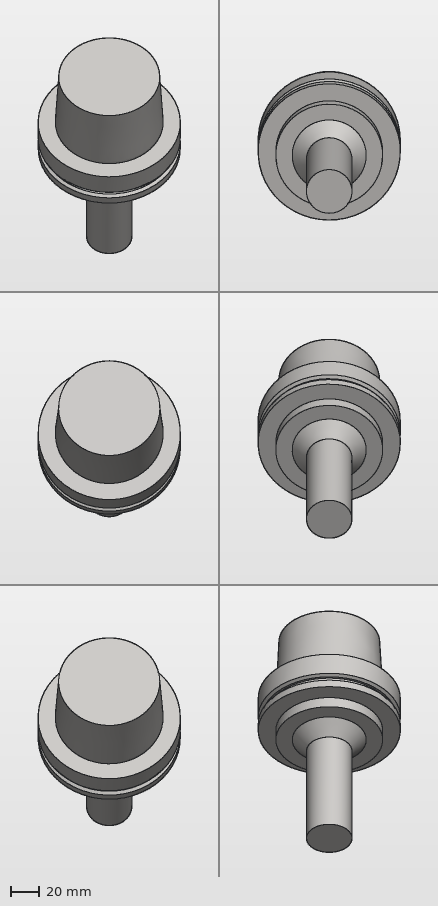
import cadquery as cq

shank_diameter = 32.0
neck_diameter = 52.0
collar_diameter = 75.0
flange_diameter = 100.0
groove_diameter = 92.0
taper_base_diameter = 75.8
taper_top_diameter = 71.0

total_height = 175.0
shank_top = 77.9
neck_top = 88.0
flange_bottom = 96.2
flange_top = 125.1
taper_start = 126.7

groove_floor_bottom = 103.2
groove_floor_top = 107.0
groove_bevel_height = 1.2
groove_bevel_depth = 2.5


def revolve_about_z(points):
    """Solid of revolution from (radius, height) points."""
    return cq.Workplane("XZ").polyline(points).close().revolve(360, (0, 0, 0), (0, 1, 0))


body = revolve_about_z([
    (0, 0),
    (shank_diameter / 2, 0),
    (shank_diameter / 2, shank_top),
    (neck_diameter / 2, neck_top),
    (collar_diameter / 2, neck_top),
    (collar_diameter / 2, flange_bottom),
    (flange_diameter / 2, flange_bottom),
    (flange_diameter / 2, flange_top),
    (taper_base_diameter / 2, flange_top),
    (taper_base_diameter / 2, taper_start),
    (taper_top_diameter / 2, total_height),
    (0, total_height),
])

flange_radius = flange_diameter / 2
groove_radius = groove_diameter / 2
bevel_radius = flange_radius - groove_bevel_depth
groove = revolve_about_z([
    (groove_radius, groove_floor_bottom),
    (bevel_radius, groove_floor_bottom),
    (flange_radius, groove_floor_bottom - groove_bevel_height),
    (flange_radius, groove_floor_top + groove_bevel_height),
    (bevel_radius, groove_floor_top),
    (groove_radius, groove_floor_top),
])

result = body.cut(groove)